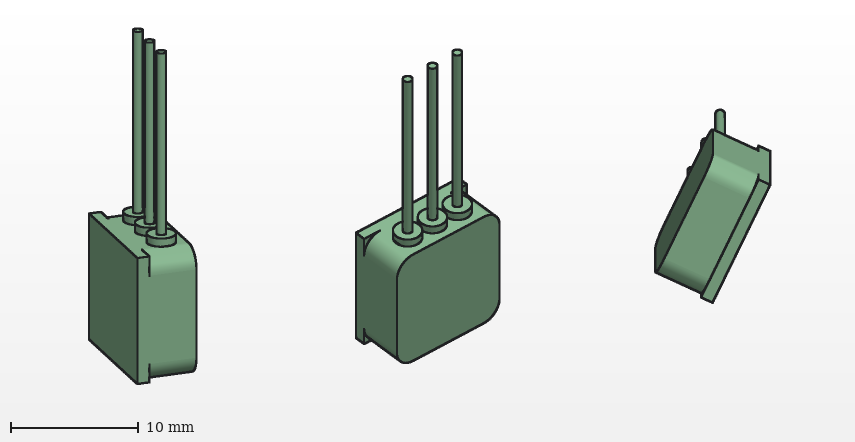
import cadquery as cq

width = 10.54
depth = 4.95
plate_height = 10.54
plate_thickness = 1.0
bottom_overhang = 0.13
corner_radius = 1.65

overall_height = 26.55
pin_count = 3
pin_pitch = 2.55
pin_diameter = 0.77
collar_diameter = 2.3
collar_height = 0.7
pin_to_back = 1.9

block_height = plate_height + bottom_overhang
block_depth = depth - plate_thickness
pin_y = depth - pin_to_back
pin_length = overall_height - block_height - collar_height


def front_plate():
    """Square plate, front face at Y = 0, top level with the block."""
    return (
        cq.Workplane("XY", origin=(0, 0, bottom_overhang))
        .box(width, plate_thickness, plate_height, centered=(True, False, False))
    )


def rounded_block():
    """Block behind the plate, rounded along its four front-to-back edges."""
    return (
        cq.Workplane("XY", origin=(0, plate_thickness, 0))
        .box(width, block_depth, block_height, centered=(True, False, False))
        .edges("|Y")
        .fillet(corner_radius)
    )


def pin_with_collar(x):
    """Collar on the top face of the block with a pin rising from it."""
    return (
        cq.Workplane("XY", origin=(x, pin_y, block_height))
        .circle(collar_diameter / 2)
        .extrude(collar_height)
        .faces(">Z")
        .workplane()
        .circle(pin_diameter / 2)
        .extrude(pin_length)
    )


result = front_plate().union(rounded_block())
for index in range(pin_count):
    pin_x = (index - (pin_count - 1) / 2) * pin_pitch
    result = result.union(pin_with_collar(pin_x))